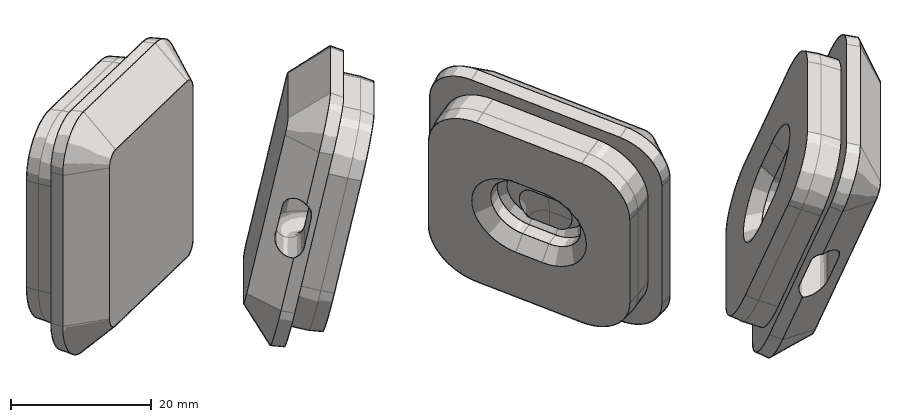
import cadquery as cq

PLUG_TAPER_LENGTH = 2.0
PLUG_LENGTH = 5.0
FLANGE_LENGTH = 2.0
BEVEL = 5.0
FLANGE_FRONT = PLUG_LENGTH
FLANGE_EDGE = FLANGE_FRONT + FLANGE_LENGTH

PLUG_SIZE = 33.0
PLUG_CORNER = 8.0
FLANGE_SIZE = 38.0
FLANGE_CORNER = 7.0
TAPER_INSET = 0.25

CORD_RADIUS = 2.125
CORD_SPREAD = 4.25
CORD_WIDTH = CORD_SPREAD + 2 * CORD_RADIUS
BEND_RADIUS = 8.0
QUARTER_TURN = 90

MOUTH_CLEARANCE = 3.0
MOUTH_RADIUS = CORD_RADIUS + MOUTH_CLEARANCE
MOUTH_FLARE = 2.0
MOUTH_STRAIGHT_LENGTH = 2.0
MOUTH_FLOOR_BEVEL = 1.0


def rounded_square(x, size, corner, inset):
    """Wire of a rounded square at x, moved inwards by inset on every side."""
    side = size - 2 * inset
    block = cq.Workplane("YZ", origin=(x, 0, 0)).rect(side, side).extrude(side)
    return block.edges("|X").fillet(corner - inset).faces("<X").wires().val()


def slot(x, radius):
    """Wire of a slot at x whose round ends have the given radius."""
    length = CORD_SPREAD + 2 * radius
    return cq.Workplane("YZ", origin=(x, 0, 0)).slot2D(length, 2 * radius).wires().val()


def loft(start, end):
    """Solid with straight sides between two wires."""
    return cq.Workplane(cq.Solid.makeLoft([start, end], True))


def make_plug():
    """Front block: a tapered lead-in followed by a straight stretch."""
    tip = rounded_square(0, PLUG_SIZE, PLUG_CORNER, TAPER_INSET)
    shoulder = rounded_square(PLUG_TAPER_LENGTH, PLUG_SIZE, PLUG_CORNER, 0)
    root = rounded_square(FLANGE_FRONT, PLUG_SIZE, PLUG_CORNER, 0)
    return loft(tip, shoulder).union(loft(shoulder, root))


def make_flange():
    """Wider back block: a slightly flared rim and a bevelled back."""
    front = rounded_square(FLANGE_FRONT, FLANGE_SIZE, FLANGE_CORNER, TAPER_INSET)
    rim = rounded_square(FLANGE_EDGE, FLANGE_SIZE, FLANGE_CORNER, 0)
    back = rounded_square(FLANGE_EDGE + BEVEL, FLANGE_SIZE, FLANGE_CORNER, BEVEL)
    return loft(front, rim).union(loft(rim, back))


def make_mouth():
    """Blind slot: flared opening, straight wall, bevel down to a flat floor."""
    straight_end = MOUTH_FLARE + MOUTH_STRAIGHT_LENGTH
    floor = straight_end + MOUTH_FLOOR_BEVEL
    opening_wire = slot(0, MOUTH_RADIUS + MOUTH_FLARE)
    throat_wire = slot(MOUTH_FLARE, MOUTH_RADIUS)
    bevel_wire = slot(straight_end, MOUTH_RADIUS)
    floor_wire = slot(floor, MOUTH_RADIUS - MOUTH_FLOOR_BEVEL)
    flare = loft(opening_wire, throat_wire)
    straight = loft(throat_wire, bevel_wire)
    floor_bevel = loft(bevel_wire, floor_wire)
    return flare.union(straight).union(floor_bevel)


def make_cord_passage():
    """Slot-shaped bore that enters along +X, bends down and leaves through the -Z side."""
    bend = (
        cq.Workplane("YZ")
        .slot2D(CORD_WIDTH, 2 * CORD_RADIUS)
        .revolve(QUARTER_TURN, (0, -BEND_RADIUS, 0), (1, -BEND_RADIUS, 0))
    )
    drop = (
        cq.Workplane("XY", origin=(BEND_RADIUS, 0, -BEND_RADIUS))
        .slot2D(CORD_WIDTH, 2 * CORD_RADIUS, QUARTER_TURN)
        .extrude(-FLANGE_SIZE / 2)
    )
    return bend.union(drop)


body = make_plug().union(make_flange())
result = body.cut(make_mouth()).cut(make_cord_passage())